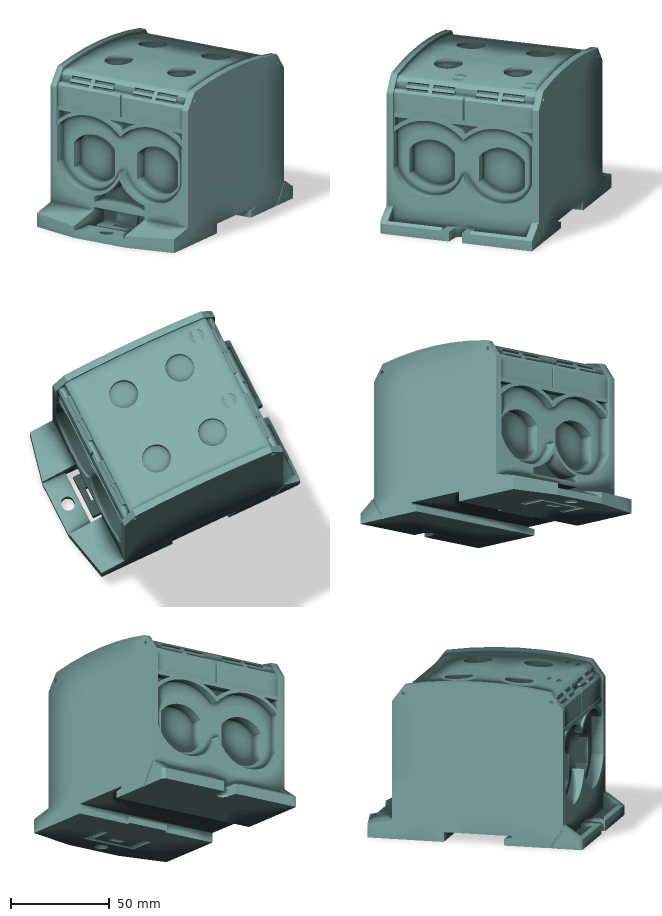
import cadquery as cq
import math


WIDTH = 82.6
HALF_WIDTH = WIDTH / 2
HEIGHT = 83.5
BODY_Y = 44.8
FRONT_Y = -63.2
REAR_Y = 118.0 + FRONT_Y
SHOULDER_Y = 38.4
SHOULDER_Z = 80.2
CORNER_Z = 71.6
REAR_CORNER_RADIUS = 1.9
BIG = 141.6

FRONT_FOOT_ROOT_Z = 9.9
FRONT_FOOT_TIP_Z = 6.1
FRONT_FOOT_SIDE_Y = -57.6
REAR_FOOT_ROOT_Z = 12.0
REAR_FOOT_TIP_Z = 5.3
PAD_HALF_WIDTH = 15.3
PAD_Z = 3.7
PAD_REAR_Y = -50.4
PAD_HOLE_Y = -56.4
PAD_HOLE_LENGTH = 7.4
PAD_HOLE_WIDTH = 6.6
TRAY_HALF_WIDTH = 37.5
TRAY_REAR_RIM = 1.8
TRAY_FLOOR_Z = 3.7
BOSS_RADIUS = 7.7
NOTCH_MOUTH = 7.1
NOTCH_RADIUS = 3.2
NOTCH_END_Y = 45.5
SIDE_GROOVE_DEPTH = 0.5
SIDE_GROOVE_WIDTH = 1.4
SIDE_GROOVE_TOP_Y = 46.3
SIDE_GROOVE_BOTTOM_Y = 38.7
SIDE_GROOVE_TOP_Z = 11.3

RAIL_HALF = 17.7
RAIL_Z = 5.1
RAIL_LIP_Y = 13.9
RAIL_LIP_ROOT_Z = 4.1
RAIL_LIP_TIP_Z = 3.4

COVER_HALF_WIDTH = 37.8
COVER_TOP_Z = 81.9
COVER_CROWN_Y = 36.0
COVER_CROWN_Z = 79.0
COVER_EDGE_BULGE = 0.2
COVER_EDGE_Y = 39.3
COVER_EDGE_Z = 77.3
COVER_FACE_Y = 43.3
COVER_FACE_TOP_Z = 72.0
COVER_FACE_BOTTOM_Z = 61.0
SILL_Y = 43.7
SILL_BOTTOM_Z = 59.0
SEAM_WIDTH = 1.2
SEAM_DEPTH = 1.2

VENT_INNER = 1.1
VENT_OUTER = 13.0
VENT_DEPTH = 1.8
VENT_ROWS_Z = ((75.6, 77.0), (73.3, 74.5))
STEP_BOTTOM_Z = 73.4
STEP_BACK_Y = 39.6

POLE_X = 18.9
RECESS_HALF_WIDTH = 37.5
RECESS_DEPTH = 6.4
UPPER_ARC_RADIUS = 26.2
UPPER_ARC_Z = SILL_BOTTOM_Z - UPPER_ARC_RADIUS
LOWER_ARC_RADIUS = 19.8
LOWER_ARC_Z = 38.5
ARCH_THICKNESS = 1.9
LOWER_WALL = 1.5
BORE_Z = 34.8
BORE_HALF_WIDTH = 12.4
BORE_HALF_HEIGHT = 12.7
BORE_FLAT_HALF_HEIGHT = 6.7
BORE_DEPTH = 7.1
POCKET_HALF_WIDTH = 15.2
POCKET_FLOOR_Z = 14.0
POCKET_DEPTH = 11.1

TOP_HOLE_Y = 15.8
TOP_HOLE_RADIUS = 7.3
TOP_HOLE_FLOOR_Z = 79.2
MARK_X_OFFSET = -11.8
MARK_Y = 30.9
MARK_RADIUS = 3.9
MARK_BAR = 3.4
MARK_DEPTH = 0.5
SIDE_HOLE_Y = 38.8
SIDE_HOLE_Z = 75.9
SIDE_HOLE_RADIUS = 1.1
SIDE_HOLE_DEPTH = 1.2

LATCH_HALF_WIDTH = 11.6
LATCH_FRONT_Y = -47.8
LATCH_TIP_Y = -15.6
LATCH_Z = PAD_Z
LATCH_TIP_CHAMFER = 0.6
LATCH_BLOCK_HALF_WIDTH = 12.2
LATCH_BLOCK_Y = -35.4
LATCH_BLOCK_REAR_Y = -23.6
LATCH_CHANNEL_Z = 11.6
LATCH_RAMP_HALF_WIDTH = 6.0
LATCH_RAMP_Y = -38.6
LATCH_SLOT_HALF_WIDTH = 3.8
LATCH_SLOT_FRONT_Y = -45.0
LATCH_SLOT_REAR_Y = -41.7


def span_box(x0, x1, y0, y1, z0, z1):
    """Box given by its limits along each axis."""
    return cq.Workplane("XY").box(x1 - x0, y1 - y0, z1 - z0, centered=False).translate((x0, y0, z0))


def wide_box(half_width, y0, y1, z0, z1):
    """Box centred on the middle plane X = 0."""
    return span_box(-half_width, half_width, y0, y1, z0, z1)


def across(profile, half_width):
    """Extrude a closed YZ profile evenly to both sides of X = 0."""
    return profile.extrude(half_width, both=True)


def y_cylinder(x, z, radius, y0, y1):
    """Cylinder along Y between y0 and y1."""
    circle = cq.Workplane("XZ", origin=(x, y0, z)).circle(radius)
    return circle.extrude(y0 - y1)


def at_both_ends(tool):
    """The tool together with its mirror image at the other end of the body."""
    return tool.union(tool.mirror("XZ"))


def housing_blank():
    """Side outline of body, feet and rail slot, trimmed to the plan outline."""
    profile = (
        cq.Workplane("YZ")
        .moveTo(FRONT_Y, 0)
        .lineTo(-RAIL_HALF, 0)
        .lineTo(-RAIL_HALF, RAIL_Z)
        .lineTo(RAIL_HALF, RAIL_Z)
        .lineTo(RAIL_HALF, RAIL_LIP_ROOT_Z)
        .lineTo(RAIL_LIP_Y, RAIL_LIP_TIP_Z)
        .lineTo(RAIL_LIP_Y, 0)
        .lineTo(REAR_Y, 0)
        .lineTo(REAR_Y, REAR_FOOT_TIP_Z)
        .lineTo(BODY_Y, REAR_FOOT_ROOT_Z)
        .lineTo(BODY_Y, CORNER_Z)
        .lineTo(SHOULDER_Y, SHOULDER_Z)
        .threePointArc((0, HEIGHT), (-SHOULDER_Y, SHOULDER_Z))
        .lineTo(-BODY_Y, CORNER_Z)
        .lineTo(-BODY_Y, FRONT_FOOT_ROOT_Z)
        .lineTo(FRONT_Y, FRONT_FOOT_TIP_Z)
        .close()
    )
    plan = (
        cq.Workplane("XY")
        .moveTo(-PAD_HALF_WIDTH, FRONT_Y)
        .lineTo(PAD_HALF_WIDTH, FRONT_Y)
        .lineTo(HALF_WIDTH, FRONT_FOOT_SIDE_Y)
        .lineTo(HALF_WIDTH, REAR_Y)
        .lineTo(-HALF_WIDTH, REAR_Y)
        .lineTo(-HALF_WIDTH, FRONT_FOOT_SIDE_Y)
        .close()
        .extrude(HEIGHT)
        .edges("|Z and >X and >Y")
        .fillet(REAR_CORNER_RADIUS)
    )
    return across(profile, HALF_WIDTH).intersect(plan)


def cover_clearance():
    """Space above and in front of the cover, between the side walls."""
    edge_mid_y = (COVER_CROWN_Y + COVER_EDGE_Y) / 2 + COVER_EDGE_BULGE
    edge_mid_z = (COVER_CROWN_Z + COVER_EDGE_Z) / 2 + COVER_EDGE_BULGE
    profile = (
        cq.Workplane("YZ")
        .moveTo(-BIG, COVER_FACE_BOTTOM_Z)
        .lineTo(-COVER_FACE_Y, COVER_FACE_BOTTOM_Z)
        .lineTo(-COVER_FACE_Y, COVER_FACE_TOP_Z)
        .lineTo(-COVER_EDGE_Y, COVER_EDGE_Z)
        .threePointArc((-edge_mid_y, edge_mid_z), (-COVER_CROWN_Y, COVER_CROWN_Z))
        .threePointArc((0, COVER_TOP_Z), (COVER_CROWN_Y, COVER_CROWN_Z))
        .threePointArc((edge_mid_y, edge_mid_z), (COVER_EDGE_Y, COVER_EDGE_Z))
        .lineTo(COVER_FACE_Y, COVER_FACE_TOP_Z)
        .lineTo(COVER_FACE_Y, COVER_FACE_BOTTOM_Z)
        .lineTo(BIG, COVER_FACE_BOTTOM_Z)
        .lineTo(BIG, BIG)
        .lineTo(-BIG, BIG)
        .close()
    )
    return across(profile, COVER_HALF_WIDTH)


def slope_y(z):
    """Y of the front slope of the cover at height z."""
    run = (COVER_FACE_Y - COVER_EDGE_Y) / (COVER_EDGE_Z - COVER_FACE_TOP_Z)
    return -COVER_EDGE_Y - (COVER_EDGE_Z - z) * run


def vents():
    """Vent slots, end notches and centre seam of the front cover face."""
    slope = math.atan2(COVER_EDGE_Z - COVER_FACE_TOP_Z, COVER_FACE_Y - COVER_EDGE_Y)
    inward_y = VENT_DEPTH * math.sin(slope)
    inward_z = -VENT_DEPTH * math.cos(slope)
    tool = wide_box(SEAM_WIDTH / 2, -BODY_Y, -COVER_FACE_Y + SEAM_DEPTH, COVER_FACE_BOTTOM_Z, STEP_BOTTOM_Z)

    for z0, z1 in VENT_ROWS_Z:
        profile = (
            cq.Workplane("YZ")
            .moveTo(slope_y(z0) - inward_y, z0 - inward_z)
            .lineTo(slope_y(z1) - inward_y, z1 - inward_z)
            .lineTo(slope_y(z1) + inward_y, z1 + inward_z)
            .lineTo(slope_y(z0) + inward_y, z0 + inward_z)
            .close()
        )
        slot = profile.extrude(VENT_OUTER - VENT_INNER)
        for pole in (-POLE_X, POLE_X):
            tool = tool.union(slot.translate((pole + VENT_INNER, 0, 0)))
            tool = tool.union(slot.translate((pole - VENT_OUTER, 0, 0)))

    step_limits = (-BODY_Y, -STEP_BACK_Y, STEP_BOTTOM_Z, COVER_EDGE_Z)
    step_inner = POLE_X - VENT_OUTER
    step_outer = POLE_X + VENT_OUTER
    tool = tool.union(wide_box(step_inner, *step_limits))
    tool = tool.union(span_box(step_outer, COVER_HALF_WIDTH, *step_limits))
    return tool.union(span_box(-COVER_HALF_WIDTH, -step_outer, *step_limits))


def cable_entries():
    """Front recess with its two bores, the arches above it and the pockets over the arches."""
    back = -BODY_Y + RECESS_DEPTH
    half_chord = math.sqrt(LOWER_ARC_RADIUS**2 - POLE_X**2)
    lower_z = LOWER_ARC_Z - half_chord
    upper_z = UPPER_ARC_Z + math.sqrt(UPPER_ARC_RADIUS**2 - POLE_X**2)

    tool = wide_box(RECESS_HALF_WIDTH, -BODY_Y, back, lower_z, upper_z)
    sill_gap = wide_box(COVER_HALF_WIDTH, -BODY_Y, -SILL_Y, upper_z, COVER_FACE_BOTTOM_Z)
    over_arches = wide_box(RECESS_HALF_WIDTH, -BODY_Y, back, upper_z, SILL_BOTTOM_Z)
    entry_limits = wide_box(RECESS_HALF_WIDTH, -BODY_Y, back, 0, HEIGHT)
    upper_half = wide_box(RECESS_HALF_WIDTH, -BODY_Y, back, upper_z, HEIGHT)
    lower_half = wide_box(RECESS_HALF_WIDTH, -BODY_Y, back, 0, lower_z)
    bore_back = back + BORE_DEPTH

    for pole in (-POLE_X, POLE_X):
        upper = y_cylinder(pole, UPPER_ARC_Z, UPPER_ARC_RADIUS, -BODY_Y, back)
        lower = y_cylinder(pole, LOWER_ARC_Z, LOWER_ARC_RADIUS, -BODY_Y, back)
        tool = tool.union(upper.intersect(upper_half)).union(lower.intersect(lower_half))
        arch = y_cylinder(pole, UPPER_ARC_Z, UPPER_ARC_RADIUS + ARCH_THICKNESS, -BODY_Y, back)
        over_arches = over_arches.cut(arch)
    tool = tool.intersect(entry_limits).union(sill_gap).union(over_arches)

    for pole in (-POLE_X, POLE_X):
        bore = (
            cq.Workplane("XZ", origin=(pole, -BODY_Y, BORE_Z))
            .moveTo(-BORE_HALF_WIDTH, -BORE_FLAT_HALF_HEIGHT)
            .threePointArc((0, -BORE_HALF_HEIGHT), (BORE_HALF_WIDTH, -BORE_FLAT_HALF_HEIGHT))
            .lineTo(BORE_HALF_WIDTH, BORE_FLAT_HALF_HEIGHT)
            .threePointArc((0, BORE_HALF_HEIGHT), (-BORE_HALF_WIDTH, BORE_FLAT_HALF_HEIGHT))
            .close()
            .extrude(-BODY_Y - bore_back)
        )
        tool = tool.union(bore)
    return tool


def front_pocket():
    """Pocket below the two recesses, bounded by their round walls."""
    back = -BODY_Y + POCKET_DEPTH
    tool = wide_box(POCKET_HALF_WIDTH, -BODY_Y, back, POCKET_FLOOR_Z, BORE_Z)
    for pole in (-POLE_X, POLE_X):
        tool = tool.cut(y_cylinder(pole, LOWER_ARC_Z, LOWER_ARC_RADIUS + LOWER_WALL, -BODY_Y, back))
    return tool


def top_holes():
    """Flat-bottomed screw holes in the crowned top."""
    centres = [(x, y) for x in (-POLE_X, POLE_X) for y in (-TOP_HOLE_Y, TOP_HOLE_Y)]
    holes = cq.Workplane("XY", origin=(0, 0, TOP_HOLE_FLOOR_Z)).pushPoints(centres).circle(TOP_HOLE_RADIUS)
    return holes.extrude(HEIGHT - TOP_HOLE_FLOOR_Z)


def screw_marks():
    """Shallow discs, each parted by a bar, whose floor follows the crowned top."""
    crown_rise = COVER_TOP_Z - COVER_CROWN_Z
    crown_radius = (COVER_CROWN_Y**2 + crown_rise**2) / (2 * crown_rise)
    crown_axis = cq.Workplane("YZ", origin=(0, 0, COVER_TOP_Z - crown_radius))
    floor = across(crown_axis.circle(crown_radius - MARK_DEPTH), HALF_WIDTH)
    centres = [(pole + MARK_X_OFFSET, MARK_Y) for pole in (-POLE_X, POLE_X)]
    discs = cq.Workplane("XY").pushPoints(centres).circle(MARK_RADIUS).extrude(HEIGHT)
    bars = cq.Workplane("XY").pushPoints(centres).rect(2 * MARK_RADIUS, MARK_BAR).extrude(HEIGHT)
    return discs.cut(bars).cut(floor)


def side_details():
    """Blind holes near the upper corners and the slanted groove at the rear, on both sides."""
    holes = (
        cq.Workplane("YZ", origin=(-HALF_WIDTH, 0, 0))
        .pushPoints([(SIDE_HOLE_Y, SIDE_HOLE_Z), (-SIDE_HOLE_Y, SIDE_HOLE_Z)])
        .circle(SIDE_HOLE_RADIUS)
        .extrude(SIDE_HOLE_DEPTH)
    )
    slant = (SIDE_GROOVE_TOP_Y - SIDE_GROOVE_BOTTOM_Y) / SIDE_GROOVE_TOP_Z
    top_y = SIDE_GROOVE_BOTTOM_Y + slant * REAR_FOOT_ROOT_Z
    groove = (
        cq.Workplane("YZ", origin=(-HALF_WIDTH, 0, 0))
        .moveTo(SIDE_GROOVE_BOTTOM_Y, 0)
        .lineTo(top_y, REAR_FOOT_ROOT_Z)
        .lineTo(top_y - SIDE_GROOVE_WIDTH, REAR_FOOT_ROOT_Z)
        .lineTo(SIDE_GROOVE_BOTTOM_Y - SIDE_GROOVE_WIDTH, 0)
        .close()
        .extrude(SIDE_GROOVE_DEPTH)
    )
    left = holes.union(groove)
    return left.union(left.mirror("YZ"))


def rear_foot_openings():
    """Tray in the rear foot, leaving a round-ended boss, and the screw notch through the boss."""
    boss_y = NOTCH_END_Y + NOTCH_RADIUS
    tray = wide_box(TRAY_HALF_WIDTH, BODY_Y, REAR_Y - TRAY_REAR_RIM, TRAY_FLOOR_Z, REAR_FOOT_ROOT_Z)
    boss_end = cq.Workplane("XY", origin=(0, boss_y, 0)).circle(BOSS_RADIUS).extrude(REAR_FOOT_TIP_Z)
    boss = boss_end.union(wide_box(BOSS_RADIUS, boss_y, REAR_Y, 0, REAR_FOOT_TIP_Z))
    above_boss = wide_box(BOSS_RADIUS, boss_y, REAR_Y, REAR_FOOT_TIP_Z, REAR_FOOT_ROOT_Z)
    notch = (
        cq.Workplane("XY")
        .moveTo(-NOTCH_MOUTH / 2, REAR_Y)
        .lineTo(-NOTCH_RADIUS, boss_y)
        .threePointArc((0, NOTCH_END_Y), (NOTCH_RADIUS, boss_y))
        .lineTo(NOTCH_MOUTH / 2, REAR_Y)
        .close()
        .extrude(REAR_FOOT_ROOT_Z)
    )
    return tray.cut(boss).union(above_boss).union(notch)


def front_foot_openings():
    """Clearance above the screw pad, the pad hole and the channel that guides the latch."""
    above_pad = wide_box(PAD_HALF_WIDTH, FRONT_Y, PAD_REAR_Y, PAD_Z, LATCH_CHANNEL_Z)
    mouth = wide_box(PAD_HALF_WIDTH, PAD_REAR_Y, LATCH_BLOCK_Y, 0, LATCH_CHANNEL_Z)
    block_seat = wide_box(LATCH_BLOCK_HALF_WIDTH, LATCH_BLOCK_Y, LATCH_BLOCK_REAR_Y, LATCH_Z, LATCH_CHANNEL_Z)
    guide = wide_box(LATCH_HALF_WIDTH, LATCH_BLOCK_Y, -RAIL_HALF, 0, LATCH_Z)
    hole = (
        cq.Workplane("XY", origin=(0, PAD_HOLE_Y, 0))
        .slot2D(PAD_HOLE_LENGTH, PAD_HOLE_WIDTH)
        .extrude(PAD_Z)
    )
    return above_pad.union(mouth).union(block_seat).union(guide).union(hole)


def make_housing():
    body = housing_blank().cut(cover_clearance())
    body = body.cut(at_both_ends(vents()))
    body = body.cut(at_both_ends(cable_entries()))
    body = body.cut(front_pocket())
    body = body.cut(top_holes())
    body = body.cut(screw_marks())
    body = body.cut(side_details())
    body = body.cut(rear_foot_openings())
    return body.cut(front_foot_openings())


def make_latch():
    """Sliding plate with a hook tip, a raised block, a ramp in front of it and a tool slot."""
    plate = wide_box(LATCH_HALF_WIDTH, LATCH_FRONT_Y, LATCH_TIP_Y, 0, LATCH_Z)
    plate = plate.edges(">Y and >Z").chamfer(LATCH_TIP_CHAMFER)
    block = wide_box(LATCH_BLOCK_HALF_WIDTH, LATCH_BLOCK_Y, LATCH_BLOCK_REAR_Y, LATCH_Z, LATCH_CHANNEL_Z)
    ramp_profile = (
        cq.Workplane("YZ")
        .moveTo(LATCH_RAMP_Y, LATCH_Z)
        .lineTo(LATCH_BLOCK_Y, LATCH_Z)
        .lineTo(LATCH_BLOCK_Y, LATCH_CHANNEL_Z)
        .close()
    )
    ramp = across(ramp_profile, LATCH_RAMP_HALF_WIDTH)
    tool_slot = wide_box(LATCH_SLOT_HALF_WIDTH, LATCH_SLOT_FRONT_Y, LATCH_SLOT_REAR_Y, 0, LATCH_Z)
    return plate.union(block).union(ramp).cut(tool_slot)


housing = make_housing()
latch = make_latch()
result = cq.Compound.makeCompound([*housing.solids().vals(), *latch.solids().vals()])